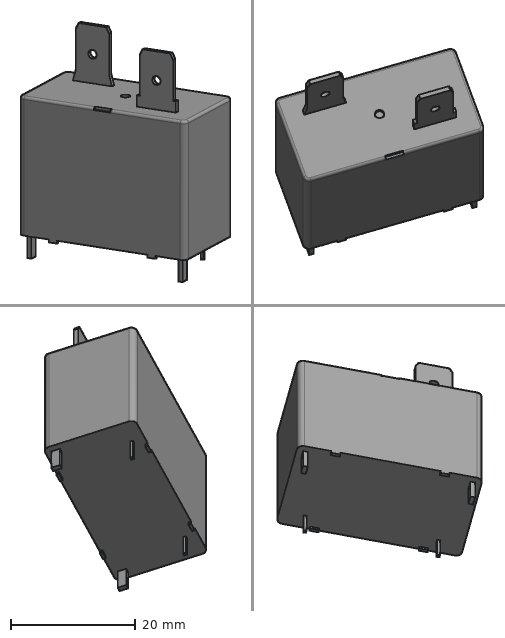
import cadquery as cq

body_length = 30.5
body_width = 16.0
body_height = 23.4
corner_radius = 1.0
top_edge_radius = 0.5

notch_length = 2.98

dimple_diameter = 1.5
dimple_depth = 0.5

blade_height = 9.8
blade_width = 6.1
blade_thickness = 0.78
blade_base_width = 7.1
blade_base_height = 1.9
blade_tip_inset = 0.52
blade_tip_height = 1.0
blade_hole_diameter = 1.5
blade_hole_height = blade_height / 2
blade_offset_x = 8.0
blade_offset_y = 4.0

pin_length = 4.0
wide_pin_size_x = 0.78
wide_pin_size_y = 1.5
wide_pin_offset_x = 13.8
wide_pin_y = -6.25
thin_pin_size = 0.5
thin_pin_offset_x = 11.0
thin_pin_y = 5.75

foot_length = 1.5
foot_width = 0.5
foot_height = 0.5
foot_offset_x = 9.0
foot_offset_y = (body_width - foot_width) / 2


def make_housing():
    """Rounded block with the edge notch and the top dimple."""
    block = cq.Workplane("XY").box(body_length, body_width, body_height, centered=(True, True, False))
    block = block.edges("|Z").fillet(corner_radius)
    block = block.faces(">Z").edges().fillet(top_edge_radius)

    notch = (
        cq.Workplane("XY")
        .box(notch_length, 2 * top_edge_radius, 2 * top_edge_radius)
        .translate((0, -body_width / 2, body_height))
    )
    dimple = (
        cq.Workplane("XY")
        .workplane(offset=body_height - dimple_depth)
        .circle(dimple_diameter / 2)
        .extrude(dimple_depth)
    )
    return block.cut(notch).cut(dimple)


def make_blade(center_x, center_y, has_flared_base):
    """Upright blade with a tapered tip, a round hole and a flared or stepped base."""
    half_blade = blade_width / 2
    half_base = blade_base_width / 2
    half_tip = half_blade - blade_tip_inset

    right_side = [(half_base, 0)]
    if not has_flared_base:
        right_side.append((half_base, blade_base_height))
    right_side += [
        (half_blade, blade_base_height),
        (half_blade, blade_height - blade_tip_height),
        (half_tip, blade_height),
    ]
    left_side = [(-x, z) for x, z in reversed(right_side)]

    blade = (
        cq.Workplane("XZ")
        .polyline(right_side + left_side)
        .close()
        .moveTo(0, blade_hole_height)
        .circle(blade_hole_diameter / 2)
        .extrude(blade_thickness / 2, both=True)
    )
    return blade.translate((center_x, center_y, body_height))


def make_hanging_block(center_x, center_y, size_x, size_y, length):
    """Rectangular block reaching down from the underside of the housing."""
    return (
        cq.Workplane("XY")
        .center(center_x, center_y)
        .rect(size_x, size_y)
        .extrude(-length)
    )


result = make_housing()
result = result.union(make_blade(-blade_offset_x, blade_offset_y, has_flared_base=True))
result = result.union(make_blade(blade_offset_x, -blade_offset_y, has_flared_base=False))

for side_x in (-1, 1):
    wide_pin = make_hanging_block(
        side_x * wide_pin_offset_x, wide_pin_y, wide_pin_size_x, wide_pin_size_y, pin_length
    )
    thin_pin = make_hanging_block(
        side_x * thin_pin_offset_x, thin_pin_y, thin_pin_size, thin_pin_size, pin_length
    )
    result = result.union(wide_pin).union(thin_pin)
    for side_y in (-1, 1):
        foot = make_hanging_block(
            side_x * foot_offset_x, side_y * foot_offset_y, foot_length, foot_width, foot_height
        )
        result = result.union(foot)